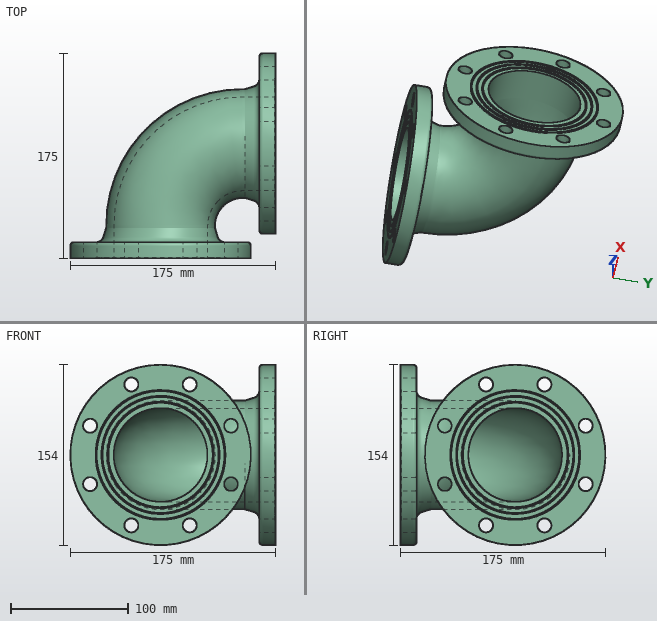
import cadquery as cq
import math

FLANGE_DIAMETER = 154.0
CENTRE_TO_FACE = 175.0 - FLANGE_DIAMETER / 2
FLANGE_THICKNESS = 14.0
FLANGE_EDGE_RADIUS = 3.2

BEND_RADIUS = 70.0
PIPE_DIAMETER = 93.0
BORE_DIAMETER = 80.0

NECK_LENGTH = 26.0
NECK_ANGLE = math.radians(17)
NECK_ROOT_RADIUS = 6.0

BOLT_CIRCLE_DIAMETER = 130.0
BOLT_HOLE_DIAMETER = 11.7
BOLT_COUNT = 8

GROOVE_DIAMETERS = (90.0, 100.0, 109.9)
GROOVE_WIDTH = 1.0
GROOVE_DEPTH = 0.9

PORT_LENGTH = CENTRE_TO_FACE - BEND_RADIUS

FRONT_PORT = cq.Plane(origin=(0, -CENTRE_TO_FACE, 0), xDir=(1, 0, 0), normal=(0, -1, 0))
SIDE_PORT = cq.Plane(origin=(CENTRE_TO_FACE, 0, 0), xDir=(0, 1, 0), normal=(1, 0, 0))
PORTS = (FRONT_PORT, SIDE_PORT)


def elbow_core(diameter):
    """Solid round bar along both ports and the quarter bend between them."""
    bend_start = cq.Workplane(FRONT_PORT).workplane(offset=-PORT_LENGTH)
    core = bend_start.circle(diameter / 2).revolve(90, (BEND_RADIUS, 0, 0), (BEND_RADIUS, -1, 0))
    for port in PORTS:
        core = core.union(cq.Workplane(port).circle(diameter / 2).extrude(-PORT_LENGTH))
    return core


def flange_with_neck(port):
    """Solid of revolution: flange disc, root blend and flared neck."""
    pipe_radius = PIPE_DIAMETER / 2
    flange_radius = FLANGE_DIAMETER / 2
    diagonal = math.sqrt(0.5)

    root_centre_depth = FLANGE_THICKNESS + NECK_ROOT_RADIUS
    cone_end_depth = root_centre_depth - NECK_ROOT_RADIUS * math.sin(NECK_ANGLE)
    cone_end_radius = pipe_radius + (NECK_LENGTH - cone_end_depth) * math.tan(NECK_ANGLE)
    root_centre_radius = cone_end_radius + NECK_ROOT_RADIUS * math.cos(NECK_ANGLE)
    root_middle_angle = (NECK_ANGLE + math.pi / 2) / 2
    root_middle = (
        root_centre_radius - NECK_ROOT_RADIUS * math.cos(root_middle_angle),
        -(root_centre_depth - NECK_ROOT_RADIUS * math.sin(root_middle_angle)),
    )

    edge_centre_radius = flange_radius - FLANGE_EDGE_RADIUS
    edge_centre_depth = FLANGE_THICKNESS - FLANGE_EDGE_RADIUS
    edge_middle = (
        edge_centre_radius + FLANGE_EDGE_RADIUS * diagonal,
        -(edge_centre_depth + FLANGE_EDGE_RADIUS * diagonal),
    )

    section = cq.Plane(origin=port.origin, xDir=(0, 0, 1), normal=port.xDir)
    return (
        cq.Workplane(section)
        .moveTo(0, 0)
        .lineTo(flange_radius, 0)
        .lineTo(flange_radius, -edge_centre_depth)
        .threePointArc(edge_middle, (edge_centre_radius, -FLANGE_THICKNESS))
        .lineTo(root_centre_radius, -FLANGE_THICKNESS)
        .threePointArc(root_middle, (cone_end_radius, -cone_end_depth))
        .lineTo(pipe_radius, -NECK_LENGTH)
        .lineTo(0, -NECK_LENGTH)
        .close()
        .revolve(360, (0, 0, 0), (0, 1, 0))
    )


def bolt_holes(port):
    """Bolt holes through the flange, straddling its centre lines."""
    return (
        cq.Workplane(port)
        .polarArray(BOLT_CIRCLE_DIAMETER / 2, 180 / BOLT_COUNT, 360, BOLT_COUNT)
        .circle(BOLT_HOLE_DIAMETER / 2)
        .extrude(-FLANGE_THICKNESS)
    )


def sealing_groove(port, mean_diameter):
    """Shallow ring groove in the sealing face."""
    return (
        cq.Workplane(port)
        .circle((mean_diameter + GROOVE_WIDTH) / 2)
        .circle((mean_diameter - GROOVE_WIDTH) / 2)
        .extrude(-GROOVE_DEPTH)
    )


elbow = elbow_core(PIPE_DIAMETER)
for port in PORTS:
    elbow = elbow.union(flange_with_neck(port))

elbow = elbow.cut(elbow_core(BORE_DIAMETER))
for port in PORTS:
    elbow = elbow.cut(bolt_holes(port))
    for groove_diameter in GROOVE_DIAMETERS:
        elbow = elbow.cut(sealing_groove(port, groove_diameter))

result = elbow